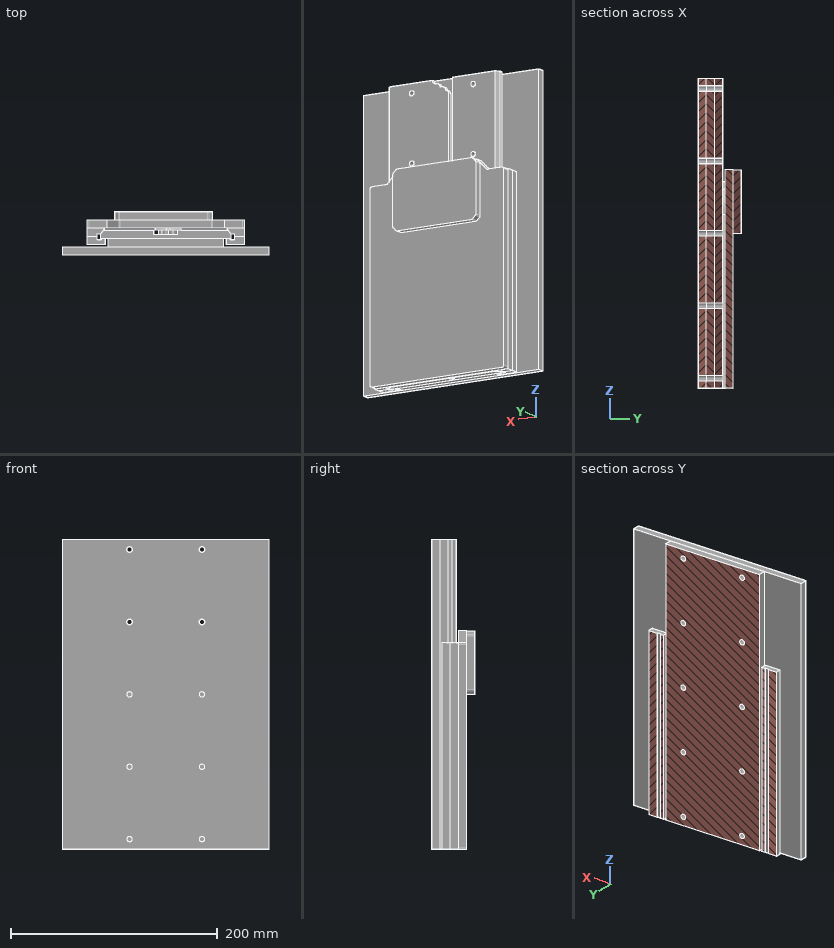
import cadquery as cq
import math

length = 300.0
base_width = length * 2 / 3
depth = 42.0

clearance = 2.0
layer = (depth - clearance) / 5
spacer_y = layer
dovetail_y = spacer_y + layer
lower_strip_y = layer + clearance
upper_strip_y = lower_strip_y + layer
cap_y = upper_strip_y + layer
cover_y = cap_y + layer

spacer_half = 56.0
dovetail_half = 63.3
dovetail_angle = 53.0
dovetail_top_y = dovetail_y + layer
flank_y = dovetail_y + layer / 2
slope_run_per_rise = 1 / math.tan(math.radians(dovetail_angle))

hole_diameter = 5.0
hole_end_margin = 10.0
hole_rows = 5
hole_pitch = (length - 2 * hole_end_margin) / (hole_rows - 1)

groove_half = 11.5
groove_depth = layer / 2
step_radius = 4.0
channel_radius = 3.5
crest_width = 1.0
middle_tread = 2.5

strip_length = length * 2 / 3
strip_outer = 76.2
strip_inner = 58.5
relief_outer = 66.3
relief_inner = 62.5
relief_depth = 1.0
relief_lift = 0.3
cap_top_half = 45.0
cap_rise = 12.0
cap_bevel_fillet = 1.5
cap_corner_fillet = 2.0

cover_width = 94.8
cover_height = 61.8
cover_x = -2.0
cover_z = 180.5
cover_chamfer = 4.2
cover_fillet = 1.8

disc_radius = 12.5
disc_x = 2.5
disc_notch_radius = 1.5


def prism_along_z(points, height):
    """Extrude an outline of (x, y) points upward from Z = 0."""
    return cq.Workplane("XY").polyline(points).close().extrude(height)


def plane_at(y):
    """XZ sketch plane at depth y; a negative extrusion grows toward +Y."""
    return cq.Workplane("XZ", origin=(0, y, 0))


def block(half_width, y, height):
    """Centred slab, one layer thick."""
    slab = cq.Workplane("XY").box(2 * half_width, layer, height, centered=(True, False, False))
    return slab.translate((0, y, 0))


def drill(body):
    """Cut the two columns of screw holes, right through the body along Y."""
    points = [
        (side * hole_pitch / 2, hole_end_margin + row * hole_pitch)
        for side in (-1, 1)
        for row in range(hole_rows)
    ]
    holes = plane_at(0).pushPoints(points).circle(hole_diameter / 2).extrude(-depth)
    return body.cut(holes)


def make_base_plate():
    return drill(block(base_width / 2, 0, length))


def make_spacer():
    return drill(block(spacer_half, spacer_y, length))


def make_groove():
    """Groove whose +X wall narrows in three rounded steps to a straight channel."""
    diagonal = math.sqrt(0.5)
    r = step_radius
    notch_x = groove_half - r
    notch_z = length - r
    crest_x = notch_x - crest_width
    tread_x = crest_x - r
    tread_z = notch_z - r
    last_x = tread_x - middle_tread - r
    last_z = tread_z - r
    channel_x = last_x - channel_radius

    def rounded_step(sketch, x, z, radius):
        """Quarter round from a tread at (x, z) down to its -X side."""
        middle = (x - radius * diagonal, z - radius * (1 - diagonal))
        return sketch.threePointArc(middle, (x - radius, z - radius))

    sketch = plane_at(dovetail_top_y - groove_depth).moveTo(-groove_half, 0)
    sketch = sketch.lineTo(-groove_half, length).lineTo(groove_half, length)
    sketch = sketch.threePointArc((notch_x + r * diagonal, length - r * diagonal), (notch_x, notch_z))
    sketch = rounded_step(sketch.lineTo(crest_x, notch_z), crest_x, notch_z, r)
    sketch = rounded_step(sketch.lineTo(tread_x - middle_tread, tread_z), tread_x - middle_tread, tread_z, r)
    sketch = rounded_step(sketch, last_x, last_z, channel_radius)
    return sketch.lineTo(channel_x, 0).close().extrude(-groove_depth)


def make_dovetail():
    top_half = dovetail_half - (dovetail_top_y - flank_y) * slope_run_per_rise
    rail = prism_along_z(
        [
            (-dovetail_half, dovetail_y),
            (dovetail_half, dovetail_y),
            (dovetail_half, flank_y),
            (top_half, dovetail_top_y),
            (-top_half, dovetail_top_y),
            (-dovetail_half, flank_y),
        ],
        length,
    )
    return drill(rail).cut(make_groove())


def make_lower_strip(side):
    """Ledge strip under one edge of the dovetail, with a relief groove beside the ledge."""
    relief_y = dovetail_y - relief_depth
    outline = [
        (strip_outer, lower_strip_y),
        (strip_outer, upper_strip_y),
        (relief_outer, upper_strip_y),
        (relief_outer, relief_y),
        (relief_inner, relief_y),
        (relief_inner, dovetail_y),
        (strip_inner, dovetail_y),
        (strip_inner, lower_strip_y),
    ]
    return prism_along_z([(side * x, y) for x, y in outline], strip_length)


def make_upper_strip(side):
    """Strip whose sloped face bears on one flank of the dovetail."""
    relief_top_y = flank_y + relief_lift
    heel_x = dovetail_half - relief_lift * slope_run_per_rise
    tip_x = dovetail_half - (cap_y - flank_y) * slope_run_per_rise
    outline = [
        (strip_outer, upper_strip_y),
        (strip_outer, cap_y),
        (tip_x, cap_y),
        (heel_x, relief_top_y),
        (relief_outer, relief_top_y),
        (relief_outer, upper_strip_y),
    ]
    return prism_along_z([(side * x, y) for x, y in outline], strip_length)


def make_cap():
    """Plate across both upper strips with a raised middle and rounded corners."""
    main = block(strip_outer, cap_y, strip_length).edges("|Y").fillet(cap_corner_fillet)
    shoulder_half = cap_top_half + cap_rise
    raised = (
        plane_at(cap_y)
        .polyline(
            [
                (-shoulder_half, strip_length / 2),
                (-shoulder_half, strip_length),
                (-cap_top_half, strip_length + cap_rise),
                (cap_top_half, strip_length + cap_rise),
                (shoulder_half, strip_length),
                (shoulder_half, strip_length / 2),
            ]
        )
        .close()
        .extrude(-layer)
    )
    return main.union(raised).edges("|Y and >Z").fillet(cap_bevel_fillet)


def make_cover():
    """Chamfered rectangular plate with the chamfer ends rounded."""
    return (
        plane_at(cover_y)
        .center(cover_x, cover_z)
        .rect(cover_width, cover_height)
        .extrude(-layer)
        .edges("|Y")
        .chamfer(cover_chamfer)
        .edges("|Y")
        .fillet(cover_fillet)
    )


def make_disc():
    """Thin disc filling the gap behind the dovetail, with a small notch at the top of its rim."""
    thickness = cap_y - dovetail_top_y
    disc = plane_at(dovetail_top_y).center(disc_x, cover_z).circle(disc_radius).extrude(-thickness)
    notch = (
        plane_at(dovetail_top_y)
        .center(disc_x, cover_z + disc_radius)
        .circle(disc_notch_radius)
        .extrude(-thickness)
    )
    return disc.cut(notch)


base_plate = make_base_plate()
spacer = make_spacer()
dovetail = make_dovetail()
lower_strips = [make_lower_strip(side) for side in (-1, 1)]
upper_strips = [make_upper_strip(side) for side in (-1, 1)]
cap = make_cap()
cover = make_cover()
disc = make_disc()

result = cq.Compound.makeCompound(
    [
        base_plate.val(),
        spacer.val(),
        dovetail.val(),
        *[strip.val() for strip in lower_strips],
        *[strip.val() for strip in upper_strips],
        cap.val(),
        cover.val(),
        disc.val(),
    ]
)